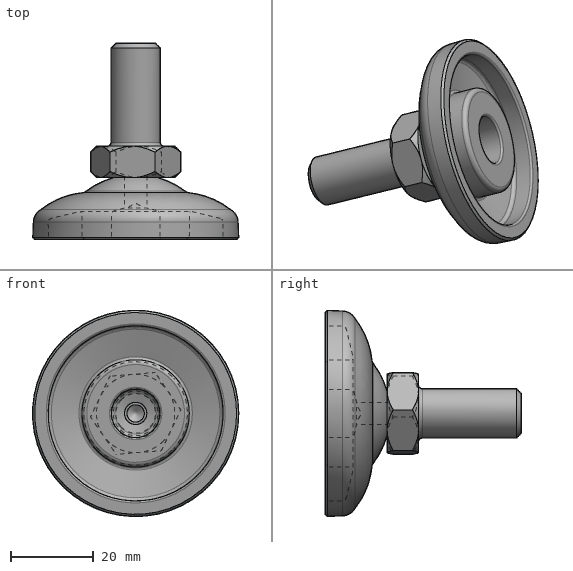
import cadquery as cq
import math


FOOT_RADIUS = 25.0
TOTAL_HEIGHT = 47.55
BASE_CHAMFER = 0.55
RIM_TOP = 4.25
RIM_TOP_RADIUS = 24.85
SHOULDER_LOW = 7.3
SHOULDER_LOW_RADIUS = 23.0
SHOULDER_MID = 10.15
SHOULDER_MID_RADIUS = 18.0
SHOULDER_TOP = 11.45
SHOULDER_TOP_RADIUS = 12.55
DOME_RADIUS = 19.9
DOME_CENTRE = -4.1
DOME_BASE = 11.75
SEAT_HEIGHT = 15.05

RECESS_RADIUS = 21.2
RECESS_WALL = 5.0
CEILING_SLOPE = math.radians(13.3)
RECESS_EDGE_FILLET = 0.5
RECESS_CORNER_FILLET = 1.0
BOSS_RADIUS = 13.0
BOSS_EDGE_FILLET = 1.15
BOSS_ROOT_FILLET = 0.6
BORE_RADIUS = 5.85
BORE_WALL = 6.9
BORE_EDGE_FILLET = 0.5
BORE_CORNER_FILLET = 1.1

SPIGOT_RADIUS = 2.7
CENTRE_RADIUS = 2.1
CENTRE_DEPTH = 1.2
HEX_ACROSS_FLATS = 19.0
HEX_HEIGHT = 7.6
HEX_TURN = 4.6
SHANK_RADIUS = 6.0
SHANK_ROOT_FILLET = 0.95
SHANK_CHAMFER = 1.2

dome_base_radius = math.sqrt(DOME_RADIUS**2 - (DOME_BASE - DOME_CENTRE) ** 2)
seat_radius = math.sqrt(DOME_RADIUS**2 - (SEAT_HEIGHT - DOME_CENTRE) ** 2)
dome_mid_radius = (dome_base_radius + seat_radius) / 2
dome_mid = DOME_CENTRE + math.sqrt(DOME_RADIUS**2 - dome_mid_radius**2)
boss_root = RECESS_WALL + (RECESS_RADIUS - BOSS_RADIUS) * math.tan(CEILING_SLOPE)
spigot_end = BORE_WALL + (BORE_RADIUS - SPIGOT_RADIUS) * math.tan(CEILING_SLOPE)
hex_top = SEAT_HEIGHT + HEX_HEIGHT


def revolve_about_y(outline):
    return outline.close().revolve(360, (0, 0, 0), (0, 1, 0))


def fillet_circle(body, radius, height, fillet):
    """Round the circular edge of the given radius and height."""
    tolerance = 0.005

    def matches(edge):
        box = edge.BoundingBox()
        return abs(box.xmax - radius) < tolerance and max(
            abs(box.ymin - height), abs(box.ymax - height)
        ) < tolerance

    edges = [edge for edge in body.edges("%CIRCLE").vals() if matches(edge)]
    return body.newObject(edges).fillet(fillet)


def make_recess():
    """Ring-shaped hollow between the rim and the central boss."""
    return revolve_about_y(
        cq.Workplane("XY")
        .moveTo(BOSS_RADIUS, 0)
        .lineTo(RECESS_RADIUS, 0)
        .lineTo(RECESS_RADIUS, RECESS_WALL)
        .lineTo(BOSS_RADIUS, boss_root)
    )


def make_bore():
    """Blind bore with a conical floor, continued by the spigot hole."""
    return revolve_about_y(
        cq.Workplane("XY")
        .lineTo(BORE_RADIUS, 0)
        .lineTo(BORE_RADIUS, BORE_WALL)
        .lineTo(SPIGOT_RADIUS, spigot_end)
        .lineTo(SPIGOT_RADIUS, SEAT_HEIGHT)
        .lineTo(0, SEAT_HEIGHT)
    )


def make_foot():
    blank = revolve_about_y(
        cq.Workplane("XY")
        .lineTo(FOOT_RADIUS - BASE_CHAMFER, 0)
        .lineTo(FOOT_RADIUS, BASE_CHAMFER)
        .lineTo(RIM_TOP_RADIUS, RIM_TOP)
        .tangentArcPoint((SHOULDER_LOW_RADIUS, SHOULDER_LOW), relative=False)
        .threePointArc(
            (SHOULDER_MID_RADIUS, SHOULDER_MID), (SHOULDER_TOP_RADIUS, SHOULDER_TOP)
        )
        .lineTo(dome_base_radius, DOME_BASE)
        .threePointArc((dome_mid_radius, dome_mid), (seat_radius, SEAT_HEIGHT))
        .lineTo(0, SEAT_HEIGHT)
    )
    foot = blank.cut(make_recess()).cut(make_bore())
    rounded_edges = [
        (RECESS_RADIUS, 0, RECESS_EDGE_FILLET),
        (RECESS_RADIUS, RECESS_WALL, RECESS_CORNER_FILLET),
        (BOSS_RADIUS, 0, BOSS_EDGE_FILLET),
        (BOSS_RADIUS, boss_root, BOSS_ROOT_FILLET),
        (BORE_RADIUS, 0, BORE_EDGE_FILLET),
        (BORE_RADIUS, BORE_WALL, BORE_CORNER_FILLET),
    ]
    for radius, height, fillet in rounded_edges:
        foot = fillet_circle(foot, radius, height, fillet)
    return foot


def make_hexagon():
    """Hexagon with 45 degree turned chamfers at both ends."""
    flat_radius = HEX_ACROSS_FLATS / 2
    corner_radius = flat_radius / math.cos(math.pi / 6)
    chamfer = corner_radius - flat_radius
    prism = (
        cq.Workplane("XZ", origin=(0, hex_top, 0))
        .polygon(6, 2 * corner_radius)
        .extrude(HEX_HEIGHT)
        .rotate((0, 0, 0), (0, 1, 0), -HEX_TURN)
    )
    turned_envelope = revolve_about_y(
        cq.Workplane("XY")
        .moveTo(0, SEAT_HEIGHT)
        .lineTo(flat_radius, SEAT_HEIGHT)
        .lineTo(corner_radius, SEAT_HEIGHT + chamfer)
        .lineTo(corner_radius, hex_top - chamfer)
        .lineTo(flat_radius, hex_top)
        .lineTo(0, hex_top)
    )
    return prism.intersect(turned_envelope)


def make_shank():
    """Shank with a chamfered tip and a flared root on the hexagon."""
    flare_mid = SHANK_ROOT_FILLET * (1 - math.sqrt(0.5))
    return revolve_about_y(
        cq.Workplane("XY")
        .moveTo(0, hex_top)
        .lineTo(SHANK_RADIUS + SHANK_ROOT_FILLET, hex_top)
        .threePointArc(
            (SHANK_RADIUS + flare_mid, hex_top + flare_mid),
            (SHANK_RADIUS, hex_top + SHANK_ROOT_FILLET),
        )
        .lineTo(SHANK_RADIUS, TOTAL_HEIGHT - SHANK_CHAMFER)
        .lineTo(SHANK_RADIUS - SHANK_CHAMFER, TOTAL_HEIGHT)
        .lineTo(0, TOTAL_HEIGHT)
    )


def make_spigot():
    """Spigot below the hexagon, with a conical centre hole in its end."""
    return revolve_about_y(
        cq.Workplane("XY")
        .moveTo(0, spigot_end + CENTRE_DEPTH)
        .lineTo(CENTRE_RADIUS, spigot_end)
        .lineTo(SPIGOT_RADIUS, spigot_end)
        .lineTo(SPIGOT_RADIUS, SEAT_HEIGHT)
        .lineTo(0, SEAT_HEIGHT)
    )


def make_stud():
    return make_hexagon().union(make_shank()).union(make_spigot())


foot = make_foot()
stud = make_stud()

result = cq.Compound.makeCompound([foot.solids().val(), stud.solids().val()])